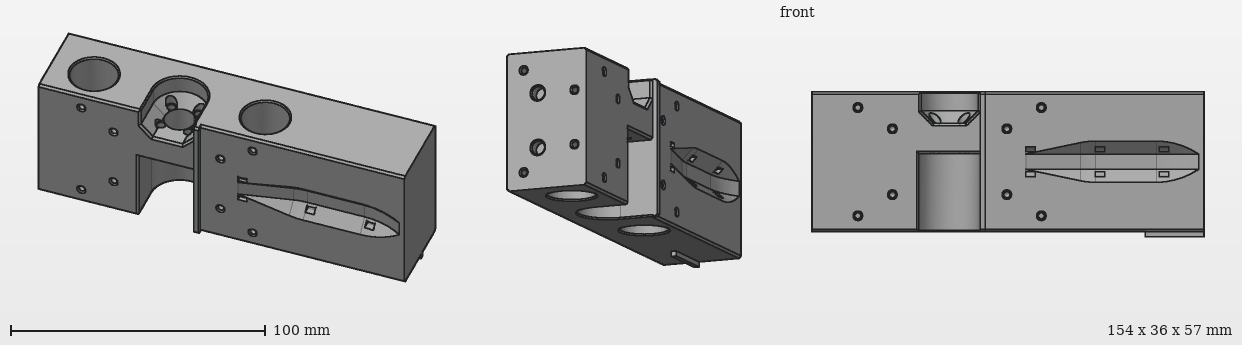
import cadquery as cq
import math


length = 154.0
depth = 34.0
height = 55.0
edge_chamfer = 1.0
mid_z = height / 2
top_z = height

rib_left = 66.0
rib_size = 2.0

strip_length = 23.1
strip_width = 2.0
strip_drop = 2.0
strip_y = 19.0

bore_diameter = 19.2
bore_spacing = 36.0
bore_y = 14.0
center_x = 54.0
rim_chamfer = 0.6

lower_slot_radius = rib_left - center_x
lower_slot_height = 30.6
slot_front_chamfer = 1.0

upper_slot_diameter = 22.3
upper_slot_radius = upper_slot_diameter / 2
upper_slot_wall = 7.5
floor_diameter = 12.5
floor_radius = floor_diameter / 2
upper_slot_depth = upper_slot_wall + upper_slot_radius - floor_radius

small_hole_diameter = 3.4
small_counterbore = 4.6
small_hole_offset = 5.7

screw_diameter = 2.5
screw_mouth = 3.7
front_screw_depth = 8.0
end_screw_depth = 15.0
outer_screw_dx = bore_spacing
outer_screw_dz = 21.3
inner_screw_dx = 22.5
inner_screw_dz = 13.0
end_back_screw_y = 26.8
end_back_screw_dz = 20.5
end_front_screw_y = 5.1
end_pair_dz = 11.0
drill_point_angle = 118.0

end_hole_diameter = 5.4
end_hole_mouth = 6.5
end_hole_depth = 5.0
end_hole_y = 20.8

pocket_left = 84.0
pocket_deep_start = 111.2
pocket_deep_end = 135.2
pocket_right = 151.8
pocket_depth = 5.1
pocket_floor_half_width = 3.0
pocket_lead_x = 105.3

tunnel_starts = (84.0, 111.3, 136.5)
tunnel_length = 3.7
tunnel_center_depths = (0.2, pocket_depth, pocket_depth)
tunnel_inner_radius = 4.0
tunnel_outer_radius = 5.9


def box(x0, x1, y0, y1, z0, z1):
    """Box between two opposite corners."""
    return cq.Workplane("XY").box(x1 - x0, y1 - y0, z1 - z0, centered=False).translate((x0, y0, z0))


def blind_hole(origin, direction, diameter, mouth, hole_depth, point_length=0.0):
    """Countersunk blind hole sunk from origin, flat-bottomed unless a drill point is given."""
    start = cq.Vector(*origin)
    along = cq.Vector(*direction)
    radius = diameter / 2
    sink = (mouth - diameter) / 2
    hole = cq.Workplane(cq.Solid.makeCylinder(radius, hole_depth, start, along))
    hole = hole.union(cq.Workplane(cq.Solid.makeCone(mouth / 2, radius, sink, start, along)))
    if point_length > 0:
        bottom = start + along * hole_depth
        hole = hole.union(cq.Workplane(cq.Solid.makeCone(radius, 0, point_length, bottom, along)))
    return hole


def screw_hole(origin, direction, hole_depth):
    """Small tapped hole ending in a drill point."""
    point_length = screw_diameter / 2 / math.tan(math.radians(drill_point_angle / 2))
    return blind_hole(origin, direction, screw_diameter, screw_mouth, hole_depth, point_length)


def arch(radius, z0, z1):
    """Upright slot, round at the back and open through the front face."""
    return (
        cq.Workplane("XY", origin=(center_x, bore_y, z0))
        .moveTo(-radius, 0)
        .threePointArc((0, radius), (radius, 0))
        .lineTo(radius, -bore_y)
        .lineTo(-radius, -bore_y)
        .close()
        .extrude(z1 - z0)
    )


def arch_funnel(wide_radius, narrow_radius, z_wide, z_narrow):
    """Slot whose round end and side walls close in from wide to narrow."""
    toward_narrow = cq.Vector(0, 0, math.copysign(1, z_narrow - z_wide))
    wide_center = cq.Vector(center_x, bore_y, z_wide)
    cone = cq.Solid.makeCone(
        wide_radius, narrow_radius, abs(z_narrow - z_wide), wide_center, toward_narrow
    )
    trough = (
        cq.Workplane("XZ", origin=(center_x, bore_y, 0))
        .polyline(
            [
                (-narrow_radius, z_narrow),
                (narrow_radius, z_narrow),
                (wide_radius, z_wide),
                (-wide_radius, z_wide),
            ]
        )
        .close()
        .extrude(bore_y)
    )
    return trough.union(cq.Workplane(cone))


def bar():
    """Chamfered bar with the front rib and the strip underneath."""
    body = box(0, length, 0, depth, 0, height).edges("|X").chamfer(edge_chamfer)
    rib = box(rib_left, rib_left + rib_size, -rib_size, edge_chamfer, 0, height)
    rib = rib.edges("|X and <Y").chamfer(edge_chamfer)
    strip = box(
        length - strip_length,
        length,
        strip_y - strip_width / 2,
        strip_y + strip_width / 2,
        -strip_drop,
        edge_chamfer,
    )
    return body.union(rib).union(strip)


def side_bore(x):
    """Bore through the full height, chamfered at both ends."""
    radius = bore_diameter / 2
    mouth = radius + rim_chamfer
    half_profile = [
        (0, 0),
        (mouth, 0),
        (radius, rim_chamfer),
        (radius, top_z - rim_chamfer),
        (mouth, top_z),
        (0, top_z),
    ]
    return (
        cq.Workplane("XZ", origin=(x, bore_y, 0))
        .polyline(half_profile)
        .close()
        .revolve(360, (0, 0, 0), (0, 1, 0))
    )


def front_bevel(outline):
    """45 degree bevel along an outline of (x, z) points on the front face."""
    return (
        cq.Workplane("XZ", origin=(center_x, 0, 0))
        .polyline(outline)
        .close()
        .offset2D(slot_front_chamfer, "intersection")
        .extrude(-slot_front_chamfer, taper=45)
    )


def lower_slot():
    """Round-backed slot from the underside, bevelled on its left and top front edges."""
    radius = lower_slot_radius
    slot = arch(radius, 0, lower_slot_height)
    bevel = front_bevel(
        [(-radius, -height), (radius, -height), (radius, lower_slot_height), (-radius, lower_slot_height)]
    )
    slot = slot.union(arch_funnel(radius + rim_chamfer, radius, 0, rim_chamfer))
    left_of_rib = box(0, rib_left, -rib_size, depth, 0, height)
    return slot.union(bevel.intersect(left_of_rib))


def upper_slot():
    """Round-backed slot from the top with a funnel floor, a rim chamfer and a front bevel."""
    radius = upper_slot_radius
    z_wall = top_z - upper_slot_wall
    z_floor = top_z - upper_slot_depth
    slot = arch(radius, z_wall, top_z)
    slot = slot.union(arch_funnel(radius, floor_radius, z_wall, z_floor))
    slot = slot.union(arch_funnel(radius + rim_chamfer, radius, top_z, top_z - rim_chamfer))
    bevel = front_bevel(
        [
            (-radius, 2 * height),
            (-radius, z_wall),
            (-floor_radius, z_floor),
            (floor_radius, z_floor),
            (radius, z_wall),
            (radius, 2 * height),
        ]
    )
    return slot.union(bevel)


def web_holes():
    """Central hole and four counterbored holes through the web between the slots."""
    z_floor = top_z - upper_slot_depth
    four = [(i * small_hole_offset, j * small_hole_offset) for i in (-1, 1) for j in (-1, 1)]
    web = cq.Workplane("XY", origin=(center_x, bore_y, 0))
    central = web.circle(floor_radius).extrude(z_floor)
    small = web.pushPoints(four).circle(small_hole_diameter / 2).extrude(z_floor)
    counterbores = (
        web.workplane(offset=z_floor)
        .pushPoints(four)
        .circle(small_counterbore / 2)
        .extrude(upper_slot_depth - upper_slot_wall)
    )
    return central.union(small).union(counterbores)


def screw_holes():
    """Eight screw holes in the front face and four in the left end."""
    into_front = (0, 1, 0)
    into_end = (1, 0, 0)
    holes = cq.Workplane("XY")
    for dz_sign in (-1, 1):
        for dx, dz in ((outer_screw_dx, outer_screw_dz), (inner_screw_dx, inner_screw_dz)):
            for dx_sign in (-1, 1):
                origin = (center_x + dx_sign * dx, 0, mid_z + dz_sign * dz)
                holes = holes.add(screw_hole(origin, into_front, front_screw_depth))
        for y, dz in ((end_back_screw_y, end_back_screw_dz), (end_front_screw_y, end_pair_dz)):
            origin = (0, y, mid_z + dz_sign * dz)
            holes = holes.add(screw_hole(origin, into_end, end_screw_depth))
    return holes.combine()


def end_holes():
    """Two larger flat-bottomed holes in the left end."""
    holes = cq.Workplane("XY")
    for dz in (-end_pair_dz, end_pair_dz):
        origin = (0, end_hole_y, mid_z + dz)
        holes = holes.add(
            blind_hole(origin, (1, 0, 0), end_hole_diameter, end_hole_mouth, end_hole_depth)
        )
    return holes.combine()


def leaf_pocket():
    """Leaf-shaped pocket: a curved floor strip with walls sloping out at 45 degrees."""
    run = pocket_right - pocket_deep_end
    arc_radius = (run**2 + pocket_depth**2) / (2 * pocket_depth)
    mid_angle = math.asin(run / arc_radius) / 2
    arc_middle = (
        pocket_deep_end + arc_radius * math.sin(mid_angle),
        pocket_depth - arc_radius * (1 - math.cos(mid_angle)),
    )
    tangent_x = (pocket_deep_start + pocket_lead_x) / 2
    lead_angle = math.atan2(pocket_depth, tangent_x - pocket_left)
    tangent_length = pocket_deep_start - tangent_x
    lead_x = tangent_x - tangent_length * math.cos(lead_angle)
    lead_depth = pocket_depth - tangent_length * math.sin(lead_angle)
    profile = (
        cq.Workplane("XY", origin=(0, 0, mid_z))
        .moveTo(pocket_left, 0)
        .lineTo(lead_x, lead_depth)
        .tangentArcPoint((pocket_deep_start, pocket_depth), relative=False)
        .lineTo(pocket_deep_end, pocket_depth)
        .threePointArc(arc_middle, (pocket_right, 0))
        .close()
    )
    wire = profile.val()
    pocket = cq.Workplane("XY").add(profile).toPending().extrude(pocket_floor_half_width, both=True)
    for side in (-1, 1):
        edge = cq.Face.makeFromWires(wire.translate(cq.Vector(0, 0, side * pocket_floor_half_width)))
        slope = cq.Vector(0, -pocket_depth, side * pocket_depth)
        pocket = pocket.union(cq.Workplane(cq.Solid.extrudeLinear(edge, slope)))
    return pocket


def tunnel_core(start, radius, center_depth):
    """Half cylinder behind the pocket floor, extended straight out to the front face."""
    return (
        cq.Workplane("YZ", origin=(start, 0, mid_z))
        .moveTo(0, radius)
        .lineTo(center_depth, radius)
        .threePointArc((center_depth + radius, 0), (center_depth, -radius))
        .lineTo(0, -radius)
        .close()
        .extrude(tunnel_length)
    )


def tie_tunnels():
    """Three U-shaped tunnels, each following the local depth of the pocket."""
    tunnels = cq.Workplane("XY")
    for start, center_depth in zip(tunnel_starts, tunnel_center_depths):
        outer = tunnel_core(start, tunnel_outer_radius, center_depth)
        tunnels = tunnels.add(outer.cut(tunnel_core(start, tunnel_inner_radius, center_depth)))
    return tunnels.combine()


result = bar()
for side in (-1, 1):
    result = result.cut(side_bore(center_x + side * bore_spacing))
for cutter in (
    lower_slot(),
    upper_slot(),
    web_holes(),
    screw_holes(),
    end_holes(),
    leaf_pocket(),
    tie_tunnels(),
):
    result = result.cut(cutter)